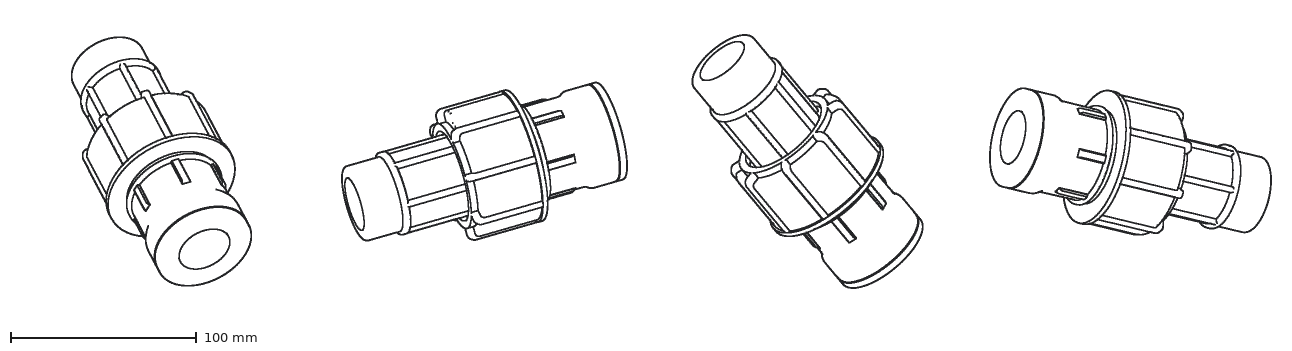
import cadquery as cq
import math


total_length = 147.0
bore_radius = 29.34 / 2

spigot_radius = 41.91 / 2
spigot_end_fillet = 2.0
collar_radius = 46.1 / 2
collar_start = 20.0
collar_end = 24.05
collar_fillet = 1.1
spigot_rib_count = 6
spigot_rib_half_width = 1.65
spigot_rib_fillet = 0.9

nut_front = 56.2
nut_back = 97.5
nut_rim_length = 2.75
nut_radius = 73.4 / 2
nut_body_radius = 35.35
nut_body_fillet = 2.1
nut_hole_radius = 50.29 / 2
nut_hole_depth = 4.0
nut_lip_radius = 29.4
nut_lip_length = 3.9
nut_rib_count = 8
nut_rib_half_width = 1.85
nut_rib_fillet = 0.65
nut_rib_nose_radius = nut_lip_length

neck_radius = 51.81 / 2
flange_radius = 54.53 / 2
flange_start = 100.3
flange_end = 102.8
flange_fillet = 0.45
barrel_start_radius = 50.29 / 2
barrel_end_radius = 50.64 / 2
barrel_end = 124.8
socket_radius = flange_radius
socket_start = 130.1
socket_end_fillet = 0.45
groove_start = 142.5
groove_width = 0.4
groove_depth = 0.3

barrel_rib_count = 6
barrel_rib_top = 26.4
barrel_rib_root = 25.3
barrel_rib_top_half_width = 1.9
barrel_rib_root_half_width = 2.4
barrel_rib_long_end = 120.0
barrel_rib_short_end = 118.7
barrel_rib_nose_length = 2.6

rib_clearance = 0.02
rib_embed = 1.5


def cylinder(start, end, radius):
    """Cylinder along X between two positions."""
    return cq.Workplane("YZ", origin=(start, 0, 0)).circle(radius).extrude(end - start)


def around_axis(solid, angle):
    """Turn a solid about the X axis."""
    return solid.rotate((0, 0, 0), (1, 0, 0), angle)


def add_ribs(body, rib, count):
    """Spread copies of a rib standing on +Z evenly about the X axis."""
    for index in range(count):
        body = body.union(around_axis(rib, index * 360 / count))
    return body


def make_spigot():
    tube = cylinder(0, nut_back, spigot_radius).faces("<X").edges().fillet(spigot_end_fillet)
    collar = cylinder(collar_start, collar_end, collar_radius).edges().fillet(collar_fillet)
    rib_start = (collar_start + collar_end) / 2
    rib_top = collar_radius - rib_clearance
    rib_bottom = spigot_radius - rib_embed
    rib = (
        cq.Workplane("XY", origin=(rib_start, 0, rib_bottom))
        .box(
            nut_front + nut_lip_length - rib_start,
            2 * spigot_rib_half_width,
            rib_top - rib_bottom,
            centered=(False, True, False),
        )
        .edges("|X and >Z")
        .fillet(spigot_rib_fillet)
    )
    return add_ribs(tube.union(collar), rib, spigot_rib_count)


def make_nut_rib():
    """Rib along the nut body whose rounded nose reaches forward to the lip."""
    top = nut_radius - rib_clearance
    bottom = nut_lip_radius - rib_embed
    nose_end = nut_front + nut_rib_nose_radius
    back = nut_back - nut_rim_length / 2
    return (
        cq.Workplane("XZ", origin=(0, nut_rib_half_width, 0))
        .moveTo(nut_front, bottom)
        .lineTo(nut_front, top - nut_rib_nose_radius)
        .tangentArcPoint((nose_end, top), relative=False)
        .lineTo(back, top)
        .lineTo(back, bottom)
        .close()
        .extrude(2 * nut_rib_half_width)
        .faces("<Y or >Y")
        .edges()
        .fillet(nut_rib_fillet)
    )


def make_nut():
    body_front = nut_front + nut_lip_length
    lip = cylinder(nut_front, nut_back, nut_lip_radius)
    body = cylinder(body_front, nut_back, nut_body_radius).faces("<X").edges().fillet(nut_body_fillet)
    rim = cylinder(nut_back - nut_rim_length, nut_back, nut_radius)
    nut = add_ribs(lip.union(body).union(rim), make_nut_rib(), nut_rib_count)
    return nut.cut(cylinder(nut_front, nut_front + nut_hole_depth, nut_hole_radius))


def make_socket_profile():
    """Half section of the neck, barrel and socket, with an S-shaped flare between the last two."""
    flare_middle = ((barrel_end + socket_start) / 2, (barrel_end_radius + socket_radius) / 2)
    flare_start = (barrel_end, barrel_end_radius)
    flare_end = (socket_start, socket_radius)
    flare_run = flare_middle[0] - barrel_end
    flare_rise = flare_middle[1] - barrel_end_radius
    flare_radius = (flare_run**2 + flare_rise**2) / (2 * flare_rise)
    half_angle = math.asin(flare_run / flare_radius) / 2
    arc_run = flare_radius * math.sin(half_angle)
    arc_rise = flare_radius * (1 - math.cos(half_angle))
    groove_end = groove_start + groove_width
    return (
        cq.Workplane("XY")
        .moveTo(nut_back, 0)
        .lineTo(nut_back, neck_radius)
        .lineTo(flange_start, neck_radius)
        .lineTo(flange_end, barrel_start_radius)
        .lineTo(*flare_start)
        .threePointArc((flare_start[0] + arc_run, flare_start[1] + arc_rise), flare_middle)
        .threePointArc((flare_end[0] - arc_run, flare_end[1] - arc_rise), flare_end)
        .lineTo(groove_start, socket_radius)
        .lineTo(groove_start, socket_radius - groove_depth)
        .lineTo(groove_end, socket_radius - groove_depth)
        .lineTo(groove_end, socket_radius)
        .lineTo(total_length - socket_end_fillet, socket_radius)
        .radiusArc((total_length, socket_radius - socket_end_fillet), socket_end_fillet)
        .lineTo(total_length, 0)
        .close()
    )


def make_barrel_rib(end):
    """Tapered rib from the flange to the given end, cut down along a rounded nose."""
    start = (flange_start + flange_end) / 2
    nose_rise = barrel_rib_top - barrel_rib_root
    bottom = barrel_rib_root - rib_embed
    bar = (
        cq.Workplane("YZ", origin=(start, 0, 0))
        .moveTo(-barrel_rib_root_half_width, bottom)
        .lineTo(-barrel_rib_root_half_width, barrel_rib_root)
        .lineTo(-barrel_rib_top_half_width, barrel_rib_top)
        .lineTo(barrel_rib_top_half_width, barrel_rib_top)
        .lineTo(barrel_rib_root_half_width, barrel_rib_root)
        .lineTo(barrel_rib_root_half_width, bottom)
        .close()
        .extrude(end - start)
    )
    side_outline = (
        cq.Workplane("XZ", origin=(0, barrel_rib_root_half_width, 0))
        .moveTo(start, bottom)
        .lineTo(start, barrel_rib_top)
        .lineTo(end - barrel_rib_nose_length, barrel_rib_top)
        .tangentArcPoint((barrel_rib_nose_length, -nose_rise))
        .lineTo(end, bottom)
        .close()
        .extrude(2 * barrel_rib_root_half_width)
    )
    return bar.intersect(side_outline)


def make_socket_tail():
    tail = make_socket_profile().revolve(360, (0, 0, 0), (1, 0, 0))
    tail = tail.union(cylinder(flange_start, flange_end, flange_radius).edges().fillet(flange_fillet))
    for index in range(barrel_rib_count):
        is_vertical = index % (barrel_rib_count // 2) == 0
        rib_end = barrel_rib_long_end if is_vertical else barrel_rib_short_end
        tail = tail.union(around_axis(make_barrel_rib(rib_end), index * 360 / barrel_rib_count))
    return tail


result = make_nut().union(make_spigot()).union(make_socket_tail())
result = result.cut(cylinder(0, total_length, bore_radius))